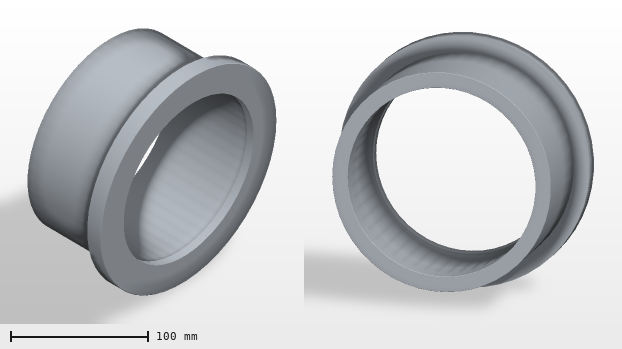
import cadquery as cq

length = 84.0
flange_thickness = 13.3
flange_diameter = 187.0
sleeve_diameter = 163.0
bore_diameter = 140.0
lip_diameter = 138.0
lip_thickness = 6.7
flange_chamfer = 0.47
sleeve_chamfer = 0.25

free_end = -length / 2
flange_start = length / 2 - flange_thickness


def cylinder(start, extent, diameter):
    """Solid cylinder along X that begins at x = start."""
    return cq.Workplane("YZ").workplane(offset=start).circle(diameter / 2).extrude(extent)


sleeve = cylinder(free_end, length, sleeve_diameter)
flange = cylinder(flange_start, flange_thickness, flange_diameter)
flange = flange.faces(">X").edges().chamfer(flange_chamfer)

bore = cylinder(free_end, length - lip_thickness, bore_diameter)
lip_opening = cylinder(free_end, length, lip_diameter)
bushing = sleeve.union(flange).cut(bore).cut(lip_opening)

result = bushing.faces("<X").edges().chamfer(sleeve_chamfer)